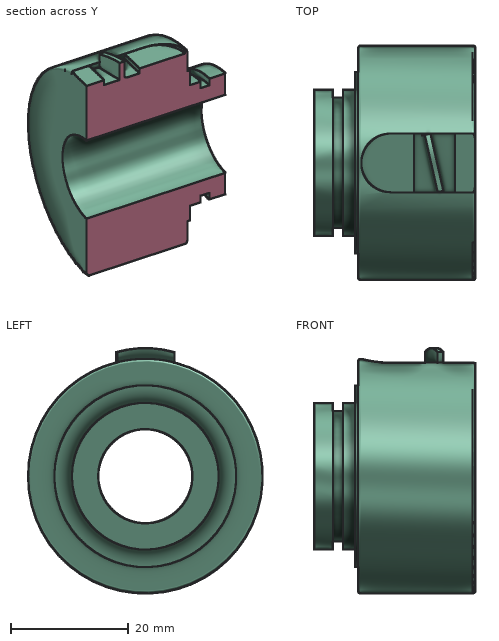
import cadquery as cq
import math

hub_length = 7.0
flange_length = 0.5
body_length = 20.0
flange_end = hub_length + flange_length
total_length = flange_end + body_length

bore_diameter = 16.0
hub_diameter = 25.0
groove_diameter = 22.3
flange_diameter = 31.0
body_diameter = 40.0

groove_start = 3.2
groove_width = 1.7

body_edge_fillet = 0.5

flat_height = 19.33
flat_width = 10.0
flat_start = 8.05
flat_overrun = 1.0

pocket_start = 17.0
pocket_end = 24.0
pocket_depth = 1.0
pocket_floor = flat_height - pocket_depth

blade_length = 10.0
blade_thickness = 1.0
blade_angle = 12.7
blade_top = 21.85
blade_crown_radius = 18.0
blade_root_fillet = 0.45
blade_embed = 0.5
blade_center_x = 20.45


def cylinder_x(diameter, start, length):
    """Solid cylinder on the X axis."""
    return cq.Workplane("YZ", origin=(start, 0, 0)).circle(diameter / 2).extrude(length)


def make_turned_part():
    """Grooved hub, thin flange and large body with rounded rims."""
    body = cylinder_x(body_diameter, flange_end, body_length)
    body = body.faces("<X or >X").edges().fillet(body_edge_fillet)

    hub = cylinder_x(hub_diameter, 0, hub_length)
    groove_outer = cylinder_x(hub_diameter, groove_start, groove_width)
    groove_core = cylinder_x(groove_diameter, groove_start, groove_width)
    hub = hub.cut(groove_outer.cut(groove_core))

    flange = cylinder_x(flange_diameter, hub_length, flange_length)
    bore = cylinder_x(bore_diameter, 0, total_length)
    return body.union(flange).union(hub).cut(bore)


def make_flat_cutter():
    """Material above the flat, with a half-round -X end."""
    half_width = flat_width / 2
    round_center = flat_start + half_width
    open_end = total_length + flat_overrun
    return (
        cq.Workplane("XY", origin=(0, 0, flat_height))
        .moveTo(open_end, -half_width)
        .lineTo(round_center, -half_width)
        .threePointArc((flat_start, 0), (round_center, half_width))
        .lineTo(open_end, half_width)
        .close()
        .extrude(body_diameter / 2 - flat_height)
    )


def make_pocket_cutter():
    """Rectangular pocket as wide as the flat."""
    pocket_plane = cq.Workplane("XY", origin=(pocket_start, 0, pocket_floor))
    pocket_length = pocket_end - pocket_start
    return pocket_plane.box(pocket_length, flat_width, pocket_depth, centered=(False, True, False))


def make_blade():
    """Thin crowned blade with a concave root fillet on its -X face."""
    half_length = blade_length / 2
    half_thickness = blade_thickness / 2
    bottom = pocket_floor - blade_embed
    crown_drop = blade_crown_radius - math.sqrt(blade_crown_radius**2 - half_length**2)
    shoulder = blade_top - crown_drop
    plate = (
        cq.Workplane("YZ", origin=(-half_thickness, 0, 0))
        .moveTo(-half_length, bottom)
        .lineTo(half_length, bottom)
        .lineTo(half_length, shoulder)
        .threePointArc((0, blade_top), (-half_length, shoulder))
        .close()
        .extrude(blade_thickness)
    )

    fillet_offset = blade_root_fillet * (1 - math.sqrt(0.5))
    root = (
        cq.Workplane("XZ", origin=(-half_thickness, half_length, 0))
        .moveTo(0, bottom)
        .lineTo(0, pocket_floor + blade_root_fillet)
        .threePointArc(
            (-fillet_offset, pocket_floor + fillet_offset),
            (-blade_root_fillet, pocket_floor),
        )
        .lineTo(-blade_root_fillet, bottom)
        .close()
        .extrude(blade_length)
    )
    blade = plate.union(root)
    return blade.rotate((0, 0, 0), (0, 0, 1), blade_angle).translate((blade_center_x, 0, 0))


result = make_turned_part().cut(make_flat_cutter()).cut(make_pocket_cutter()).union(make_blade())